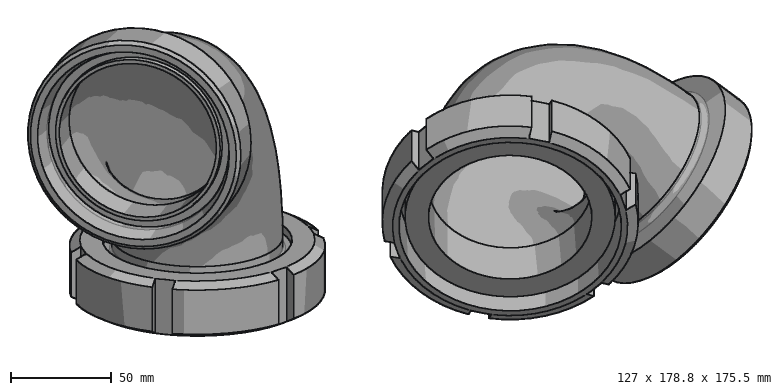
import cadquery as cq
import math

pipe_od = 85.0
pipe_id = 81.0
bore_radius = pipe_id / 2

nut_od = 127
nut_height = 29.1
nut_edge_drop = 2.9
nut_edge_radius = 58.3
nut_neck_id = 94.0
nut_thread_id = 110.3
nut_shoulder_z = 24.9
slot_count = 6
slot_width = 10.4

liner_neck_od = pipe_od
liner_collar_od = 104.2
liner_bottom_z = 7.2
liner_fillet = 1.3

fitting_od = 110.0
fitting_face_d = 106.2
fitting_edge_length = 1.6
fitting_length = 20.0
fitting_back_slope = 2.1
seat_mouth_d = 98.9
seat_floor_d = 94.0
seat_depth = 7.9
groove_depth = 11.8
lip_od = 85.0
lip_depth = 8.0
neck_fillet = 3.0

edge_margin = 0.2

overall_length = 178.8
overall_height = 175.5
bend_radius = 89.8
outlet_axis_z = overall_height - fitting_od / 2
nut_reach_y = math.sqrt((nut_od / 2) ** 2 - (slot_width / 2) ** 2)
outlet_face_y = nut_reach_y - overall_length
bend_bottom_z = outlet_axis_z - bend_radius
fitting_total_length = -bend_radius - outlet_face_y


def revolve_profile(points):
    """Revolve a closed (radius, height) outline around the Z axis."""
    return cq.Workplane("XZ").polyline(points).close().revolve(360, (0, 0, 0), (0, 1, 0))


def fillet_ring_at(body, radius, height, fillet_radius):
    """Fillet the circular edge of the given radius and height around the Z axis."""
    ring = cq.selectors.BoxSelector(
        (-radius - edge_margin, -radius - edge_margin, height - edge_margin),
        (radius + edge_margin, radius + edge_margin, height + edge_margin),
        boundingbox=True,
    )
    outer_edge = body.edges(ring).edges(cq.selectors.RadiusNthSelector(-1))
    return outer_edge.fillet(fillet_radius)


def make_elbow():
    """Quarter-circle pipe bend from the vertical to the -Y direction."""
    return (
        cq.Workplane("XY", origin=(0, 0, bend_bottom_z))
        .circle(pipe_od / 2)
        .circle(bore_radius)
        .revolve(90, (0, -bend_radius, 0), (1, -bend_radius, 0))
    )


def make_nut():
    """Chamfered ring with a threaded bore, a narrower neck and wrench slots."""
    outer = nut_od / 2
    neck = nut_neck_id / 2
    thread = nut_thread_id / 2
    nut = revolve_profile([
        (thread, 0),
        (nut_edge_radius, 0),
        (outer, nut_edge_drop),
        (outer, nut_height - nut_edge_drop),
        (nut_edge_radius, nut_height),
        (neck, nut_height),
        (neck, nut_shoulder_z),
        (thread, nut_shoulder_z),
    ])
    slot = (
        cq.Workplane("XY")
        .center(nut_edge_radius + slot_width / 2, 0)
        .rect(slot_width, slot_width)
        .extrude(nut_height)
    )
    for index in range(slot_count):
        angle = 90 + index * 360 / slot_count
        nut = nut.cut(slot.rotate((0, 0, 0), (0, 0, 1), angle))
    return nut


def make_liner():
    """Tube stub under the bend, with a collar below the nut shoulder."""
    neck = liner_neck_od / 2
    collar = liner_collar_od / 2
    liner = revolve_profile([
        (bore_radius, liner_bottom_z),
        (collar, liner_bottom_z),
        (collar, nut_shoulder_z),
        (neck, nut_shoulder_z),
        (neck, bend_bottom_z),
        (bore_radius, bend_bottom_z),
    ])
    return fillet_ring_at(liner, neck, nut_shoulder_z, liner_fillet)


def make_fitting():
    """Externally threaded end with a conical seal seat, with a lip inside, opening toward -Y."""
    outer = fitting_od / 2
    neck = pipe_od / 2
    back = fitting_total_length - fitting_length
    face = fitting_total_length
    groove_floor = face - groove_depth
    lip_face = face - lip_depth
    fitting = revolve_profile([
        (bore_radius, 0),
        (neck, 0),
        (neck, back - fitting_back_slope),
        (outer, back),
        (outer, face - fitting_edge_length),
        (fitting_face_d / 2, face),
        (seat_mouth_d / 2, face),
        (seat_floor_d / 2, face - seat_depth),
        (seat_floor_d / 2, groove_floor),
        (lip_od / 2, groove_floor),
        (lip_od / 2, lip_face),
        (bore_radius, lip_face),
    ])
    fitting = fillet_ring_at(fitting, neck, back - fitting_back_slope, neck_fillet)
    return fitting.rotate((0, 0, 0), (1, 0, 0), 90).translate((0, -bend_radius, outlet_axis_z))


elbow = make_elbow()
nut = make_nut()
liner = make_liner()
fitting = make_fitting()

result = cq.Compound.makeCompound([elbow.val(), nut.val(), liner.val(), fitting.val()])